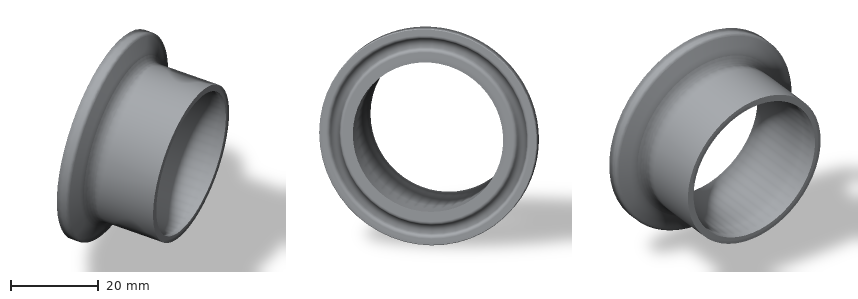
import cadquery as cq
import math

length = 21.5
flange_radius = 25.25
tube_radius = 19.05
bore_radius = 17.4

face_chamfer = 0.15
rim_corner_x = 2.85
back_taper = math.radians(20)
rim_fillet = 0.8
neck_fillet = 2.2

groove_radius = 21.7
mouth_half_width = 1.95
lip_fillet = 0.8
wall_depth = 0.5
wall_draft = math.radians(20)


def make_body():
    """Revolve the solid flange and tube, then round the rim and neck."""
    neck_corner_x = rim_corner_x + (flange_radius - tube_radius) * math.tan(back_taper)
    profile = (
        cq.Workplane("XY")
        .polyline([
            (0, 0),
            (0, flange_radius - face_chamfer),
            (face_chamfer, flange_radius),
            (rim_corner_x, flange_radius),
            (neck_corner_x, tube_radius),
            (length, tube_radius),
            (length, 0),
        ])
        .close()
    )
    body = profile.revolve(360, (0, 0, 0), (1, 0, 0))

    def circle_at(x):
        margin = 0.05
        reach = flange_radius + margin
        return cq.selectors.BoxSelector(
            (x - margin, -reach, -reach), (x + margin, reach, reach)
        )

    body = body.edges(circle_at(rim_corner_x)).edges("%CIRCLE").fillet(rim_fillet)
    return body.edges(circle_at(neck_corner_x)).edges("%CIRCLE").fillet(neck_fillet)


def make_groove():
    """Ring with rounded lips, drafted walls and a round floor."""
    lip_turn = math.pi / 2 - wall_draft

    def lip_point(turn):
        x = lip_fillet * (1 - math.cos(turn))
        offset = mouth_half_width - lip_fillet * math.sin(turn)
        return x, offset

    lip_mid = lip_point(lip_turn / 2)
    lip_end = lip_point(lip_turn)
    wall_end = (
        lip_end[0] + wall_depth,
        lip_end[1] - wall_depth * math.tan(wall_draft),
    )
    floor_radius = wall_end[1] / math.cos(wall_draft)
    floor_x = wall_end[0] + floor_radius * (1 - math.sin(wall_draft))

    def outer(point):
        return point[0], groove_radius + point[1]

    def inner(point):
        return point[0], groove_radius - point[1]

    mouth = (0, mouth_half_width)
    profile = (
        cq.Workplane("XY")
        .moveTo(*outer(mouth))
        .threePointArc(outer(lip_mid), outer(lip_end))
        .lineTo(*outer(wall_end))
        .threePointArc((floor_x, groove_radius), inner(wall_end))
        .lineTo(*inner(lip_end))
        .threePointArc(inner(lip_mid), inner(mouth))
        .close()
    )
    return profile.revolve(360, (0, 0, 0), (1, 0, 0))


bore = cq.Workplane("YZ").circle(bore_radius).extrude(length)

result = make_body().cut(make_groove()).cut(bore)